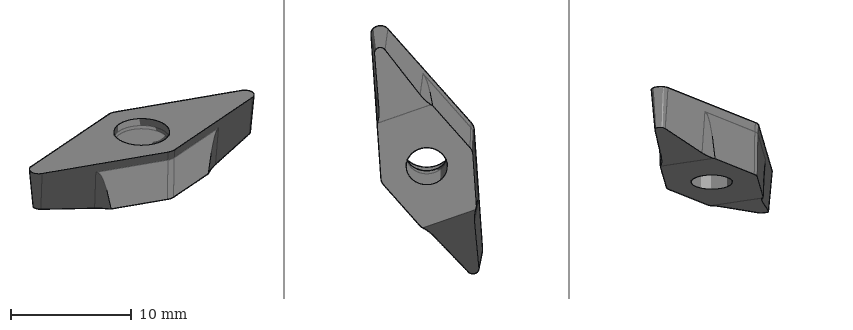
import cadquery as cq
import math

width = 8.0
length = 21.92
thickness = 4.54
tip_angle = 35.0
blunt_corner_radius = 1.16

flank_angle = 5.0
pad_angle = 1.0
pad_top_depth = 0.8
pad_reach = 6.69
pad_end_radius = 3.73
pad_limit_length = 17.54

relief_angle = 10.0
relief_start = 5.17

hole_diameter = 3.4
mouth_diameter = 4.6
mouth_depth = 0.65
seat_diameter = 4.47
seat_top_depth = 0.92
seat_bottom_depth = 2.5

tip_rad = math.radians(tip_angle)
side = width / math.sin(tip_rad)
blunt_y = side * (1 - math.cos(tip_rad)) / 2
tip_y = side * (1 + math.cos(tip_rad)) / 2
nose_radius = (tip_y - length / 2) / (1 / math.tan(tip_rad / 2) - 1)
flank_slope = math.tan(math.radians(flank_angle))
overrun = 2 * length


def tapered_rhombus(top_depth, inset, angle):
    """Rounded rhombic block from top_depth to the floor, narrowing downwards."""
    scale = 1 - 2 * inset / width
    half_width = scale * width / 2
    corners = [
        (-half_width, -scale * blunt_y),
        (half_width, -scale * tip_y),
        (half_width, scale * blunt_y),
        (-half_width, scale * tip_y),
    ]
    prism = cq.Workplane("XY").polyline(corners).close().extrude(-0.22)
    prism = prism.edges("|Z").edges("<Y or >Y").fillet(nose_radius - inset)
    middle = cq.selectors.BoxSelector((-width, -2 * blunt_y, -0.22), (width, 2 * blunt_y, 0))
    prism = prism.edges("|Z").edges(middle).fillet(blunt_corner_radius - inset)
    outline = prism.faces(">Z").wires().toPending()
    block = outline.extrude(-(thickness - top_depth), combine=False, taper=angle)
    return block.translate((0, 0, -top_depth))


def pad_end_cutter(along_x, along_y, out_x, out_y):
    """Space outside one flank, from the pad's rounded end to beyond the tip.

    The side starts at the blunt corner on -X and runs in the "along" direction;
    "out" is its outward normal in plan.
    """
    down = cq.Vector(-out_x * flank_slope, -out_y * flank_slope, -1)
    along = cq.Vector(along_x, along_y, 0)
    start = cq.Vector(-width / 2, -blunt_y, 0) + along * pad_reach
    frame = cq.Plane(origin=start, xDir=along, normal=down)
    outward = 1 if frame.yDir.dot(cq.Vector(out_x, out_y, 0)) > 0 else -1
    arc_mid = pad_end_radius * math.sqrt(0.5)
    return (
        cq.Workplane(frame)
        .lineTo(overrun, 0)
        .lineTo(overrun, outward * pad_end_radius)
        .lineTo(-pad_end_radius, outward * pad_end_radius)
        .threePointArc((-arc_mid, outward * (pad_end_radius - arc_mid)), (0, 0))
        .close()
        .extrude(overrun)
    )


def half_turn(shape):
    return shape.rotate((0, 0, 0), (0, 0, 1), 180)


def pads():
    inset = pad_top_depth * flank_slope
    block = tapered_rhombus(pad_top_depth, inset, pad_angle)
    block = block.intersect(cq.Workplane("XY").box(width, pad_limit_length, 2 * thickness))
    straight_side = pad_end_cutter(0, 1, -1, 0)
    slanted_side = pad_end_cutter(
        math.sin(tip_rad), -math.cos(tip_rad), -math.cos(tip_rad), -math.sin(tip_rad)
    )
    for cutter in (straight_side, slanted_side):
        block = block.cut(cutter).cut(half_turn(cutter))
    return block


def tip_relief():
    """Wedge under the +Y tip, square to the long diagonal."""
    rise = overrun * math.tan(math.radians(relief_angle))
    wedge = (
        cq.Workplane("YZ")
        .moveTo(relief_start, -thickness)
        .lineTo(relief_start + overrun, -thickness + rise)
        .lineTo(relief_start + overrun, -thickness - 0.22)
        .lineTo(relief_start, -thickness - 0.22)
        .close()
        .extrude(width, both=True)
    )
    return wedge.rotate((0, 0, 0), (0, 0, 1), tip_angle / 2)


def screw_hole():
    """Straight mouth, short cone, then a convex seat tangent to the bore."""
    bore = hole_diameter / 2
    seat = seat_diameter / 2
    drop = seat_bottom_depth - seat_top_depth
    arc_radius = (drop**2 + (seat - bore) ** 2) / (2 * (seat - bore))
    half_sweep = math.asin(drop / arc_radius) / 2
    arc_x = bore + arc_radius * (1 - math.cos(half_sweep))
    arc_z = -seat_bottom_depth + arc_radius * math.sin(half_sweep)
    return (
        cq.Workplane("XZ")
        .lineTo(mouth_diameter / 2, 0)
        .lineTo(mouth_diameter / 2, -mouth_depth)
        .lineTo(seat, -seat_top_depth)
        .threePointArc((arc_x, arc_z), (bore, -seat_bottom_depth))
        .lineTo(bore, -thickness)
        .lineTo(0, -thickness)
        .close()
        .revolve(360, (0, 0, 0), (0, 1, 0))
    )


relief = tip_relief()
result = tapered_rhombus(0, 0, flank_angle).union(pads())
result = result.cut(relief).cut(half_turn(relief)).cut(screw_hole())